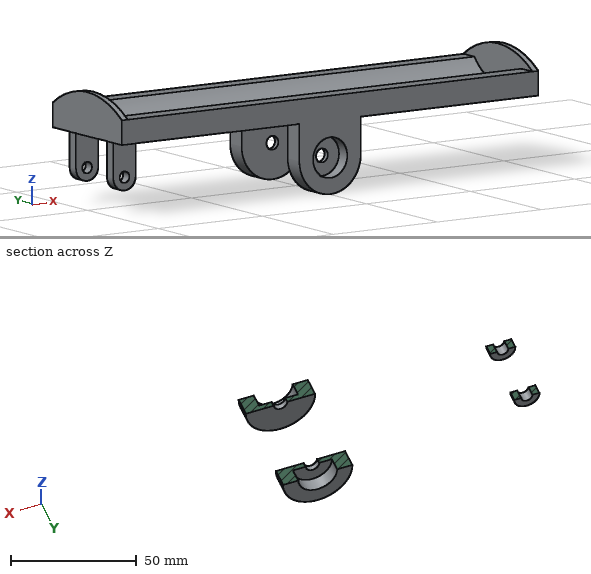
import cadquery as cq

length = 200.0
width = 49.0
plate_thickness = 10.0
end_wall_thickness = 2.8
arch_rise = 7.8
trough_width = 33.2
trough_depth = 8.0

pivot_lug_width = 29.5
pivot_lug_thickness = 8.2
pivot_hole_diameter = 5.5
counterbore_diameter = 16.5
counterbore_depth = 5.8

link_lug_width = 10.8
link_lug_thickness = 4.5
link_lug_inset = 9.0
link_lug_end_distance = 7.5
link_hole_diameter = 4.5

hole_drop = 15.0
pivot_x = 0.0
link_x = link_lug_end_distance - length / 2


def make_end_wall(start_x):
    """Wall across the tray whose top edge is an arc, extruded along +X."""
    return (
        cq.Workplane("YZ", origin=(start_x, 0, 0))
        .moveTo(-width / 2, 0)
        .lineTo(width / 2, 0)
        .lineTo(width / 2, plate_thickness)
        .threePointArc((0, plate_thickness + arch_rise), (-width / 2, plate_thickness))
        .close()
        .extrude(end_wall_thickness)
    )


def make_tray():
    plate = cq.Workplane("XY").box(length, width, plate_thickness, centered=(True, True, False))
    trough = (
        cq.Workplane("YZ", origin=(-length / 2, 0, 0))
        .moveTo(-trough_width / 2, plate_thickness)
        .threePointArc((0, plate_thickness - trough_depth), (trough_width / 2, plate_thickness))
        .close()
        .extrude(length)
    )
    tray = plate.cut(trough)
    for start_x in (-length / 2, length / 2 - end_wall_thickness):
        tray = tray.union(make_end_wall(start_x))
    return tray


def make_cylinder(x, outer_y, diameter, depth):
    """Cylinder along Y at hole height, running in +Y from outer_y."""
    return (
        cq.Workplane("XZ", origin=(x, outer_y, -hole_drop))
        .circle(diameter / 2)
        .extrude(-depth)
    )


def make_lug(x, outer_y, lug_width, thickness, hole_diameter):
    """Round-ended lug hanging from the plate, running in +Y from outer_y."""
    shank = (
        cq.Workplane("XY")
        .box(lug_width, thickness, hole_drop, centered=(True, False, False))
        .translate((x, outer_y, -hole_drop))
    )
    rounded_end = make_cylinder(x, outer_y, lug_width, thickness)
    hole = make_cylinder(x, outer_y, hole_diameter, thickness)
    return shank.union(rounded_end).cut(hole)


pivot_lug = make_lug(
    pivot_x, -width / 2, pivot_lug_width, pivot_lug_thickness, pivot_hole_diameter
).cut(make_cylinder(pivot_x, -width / 2, counterbore_diameter, counterbore_depth))

link_lug = make_lug(
    link_x, link_lug_inset - width / 2, link_lug_width, link_lug_thickness, link_hole_diameter
)

result = make_tray()
for lug in (pivot_lug, link_lug):
    result = result.union(lug).union(lug.mirror("XZ"))